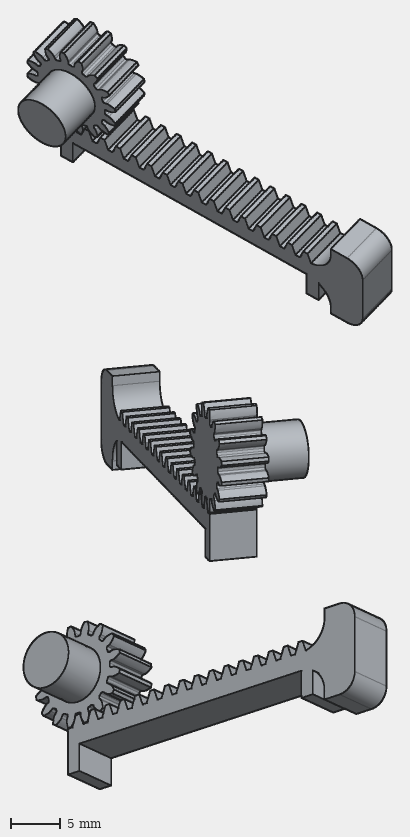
import cadquery as cq
import math

OVERALL_LENGTH = 42.2
DEPTH = 10.0
FACE_WIDTH = DEPTH / 2
SHAFT_DIAMETER = 6.0
SHAFT_LENGTH = DEPTH - FACE_WIDTH

PITCH_DIAMETER = 10.0
PINION_TEETH = 16
RACK_TEETH = 16
PRESSURE_ANGLE = math.radians(20)
DEDENDUM_FACTOR = 1.25
MODULE = PITCH_DIAMETER / PINION_TEETH
PITCH = math.pi * MODULE
TOOTH_STEP = 2 * math.pi / PINION_TEETH
PITCH_RADIUS = PITCH_DIAMETER / 2
TIP_RADIUS = PITCH_RADIUS + MODULE
ROOT_RADIUS = PITCH_RADIUS - DEDENDUM_FACTOR * MODULE
BASE_RADIUS = PITCH_RADIUS * math.cos(PRESSURE_ANGLE)
ROOT_FILLET = 0.2
FLANK_POINTS = 6


def involute(angle):
    return math.tan(angle) - angle


def half_tooth_angle(radius):
    """Half of the angle that a pinion tooth covers at a radius on its flank."""
    at_pitch = TOOTH_STEP / 4
    return at_pitch + involute(PRESSURE_ANGLE) - involute(math.acos(BASE_RADIUS / radius))


PINION_REACH = TIP_RADIUS * math.cos(TOOTH_STEP / 2 - half_tooth_angle(TIP_RADIUS))

RACK_MID_Z = -6.63
BAR_THICKNESS = 2.03
BAR_TOP = RACK_MID_Z + BAR_THICKNESS / 2
BAR_BOTTOM = RACK_MID_Z - BAR_THICKNESS / 2
RACK_TIP_Z = MODULE - PITCH_RADIUS
RACK_LEFT = -1.3

LEG_WIDTH = 1.5
LEG_HEIGHT = 3.0
SECOND_LEG_LEFT = 29.6

HEAD_RIGHT = OVERALL_LENGTH - PINION_REACH
HEAD_WIDTH = 4.0
HEAD_HEIGHT = 10.0
HEAD_CORNER_RADIUS = 2.0
HEAD_LEFT = HEAD_RIGHT - HEAD_WIDTH
NECK_RADIUS = 3.0


def extrude_back(sketch):
    """Extrude an outline drawn on XZ from Y = 0 to Y = FACE_WIDTH."""
    return sketch.extrude(-FACE_WIDTH)


def block(left, right, bottom, top):
    """Full-width rectangular block between the given X and Z limits."""
    outline = cq.Workplane("XZ").moveTo(left, bottom).lineTo(right, bottom)
    return extrude_back(outline.lineTo(right, top).lineTo(left, top).close())



def polar(radius, angle):
    return (radius * math.cos(angle), radius * math.sin(angle))


def gear_outline():
    """Involute flanks, radial below the base circle, joined by tip and root arcs."""
    radii = [
        BASE_RADIUS + (TIP_RADIUS - BASE_RADIUS) * i / (FLANK_POINTS - 1)
        for i in range(FLANK_POINTS)
    ]
    root_half = half_tooth_angle(BASE_RADIUS)
    outline = cq.Workplane("XZ").moveTo(*polar(ROOT_RADIUS, TOOTH_STEP / 2 - root_half))
    for tooth in range(PINION_TEETH):
        centre = (tooth + 0.5) * TOOTH_STEP
        rising = [polar(r, centre - half_tooth_angle(r)) for r in radii]
        falling = [polar(r, centre + half_tooth_angle(r)) for r in reversed(radii)]
        next_gap = centre + TOOTH_STEP / 2
        outline = outline.lineTo(*rising[0]).spline(rising[1:], includeCurrent=True)
        outline = outline.threePointArc(polar(TIP_RADIUS, centre), falling[0])
        outline = outline.spline(falling[1:], includeCurrent=True)
        outline = outline.lineTo(*polar(ROOT_RADIUS, centre + root_half))
        outline = outline.threePointArc(
            polar(ROOT_RADIUS, next_gap), polar(ROOT_RADIUS, centre + TOOTH_STEP - root_half)
        )
    return outline.close()


def make_pinion():
    gear = extrude_back(gear_outline())
    root_corners = [
        edge
        for edge in gear.edges("|Y").vals()
        if math.hypot(edge.Center().x, edge.Center().z) < (ROOT_RADIUS + BASE_RADIUS) / 2
    ]
    gear = gear.newObject(root_corners).fillet(ROOT_FILLET)
    shaft = cq.Workplane("XZ").circle(SHAFT_DIAMETER / 2).extrude(SHAFT_LENGTH)
    return gear.union(shaft)



def rack_half_width(z):
    """Half the width of a rack tooth at height z."""
    return PITCH / 4 - (z + PITCH_RADIUS) * math.tan(PRESSURE_ANGLE)


def rack_tooth(centre_x):
    tip = rack_half_width(RACK_TIP_Z)
    base = rack_half_width(BAR_TOP)
    outline = cq.Workplane("XZ").moveTo(centre_x - base, BAR_BOTTOM).lineTo(centre_x - base, BAR_TOP)
    outline = outline.lineTo(centre_x - tip, RACK_TIP_Z).lineTo(centre_x + tip, RACK_TIP_Z)
    outline = outline.lineTo(centre_x + base, BAR_TOP).lineTo(centre_x + base, BAR_BOTTOM)
    return extrude_back(outline.close())


def make_head():
    bottom = RACK_MID_Z - HEAD_HEIGHT / 2
    head = block(HEAD_LEFT, HEAD_RIGHT, bottom, bottom + HEAD_HEIGHT)
    return head.edges("|Y and >X").fillet(HEAD_CORNER_RADIUS)


def make_neck():
    """Flare from the bar to the head: quarter arcs above and below, tangent to both."""
    start_x = HEAD_LEFT - NECK_RADIUS
    top = BAR_TOP + NECK_RADIUS
    bottom = BAR_BOTTOM - NECK_RADIUS
    neck = block(start_x, HEAD_LEFT, bottom, top)
    for arc_z in (bottom, top):
        hollow = cq.Workplane("XZ").center(start_x, arc_z).circle(NECK_RADIUS)
        neck = neck.cut(extrude_back(hollow))
    return neck


def make_rack():
    rack = block(RACK_LEFT, HEAD_LEFT, BAR_BOTTOM, BAR_TOP)
    for leg_left in (RACK_LEFT, SECOND_LEG_LEFT):
        rack = rack.union(block(leg_left, leg_left + LEG_WIDTH, BAR_BOTTOM - LEG_HEIGHT, BAR_TOP))
    for tooth in range(RACK_TEETH):
        rack = rack.union(rack_tooth(tooth * PITCH))
    return rack.union(make_neck()).union(make_head()).clean()


pinion = make_pinion()
rack = make_rack()

result = cq.Compound.makeCompound([pinion.solids().val(), rack.solids().val()])